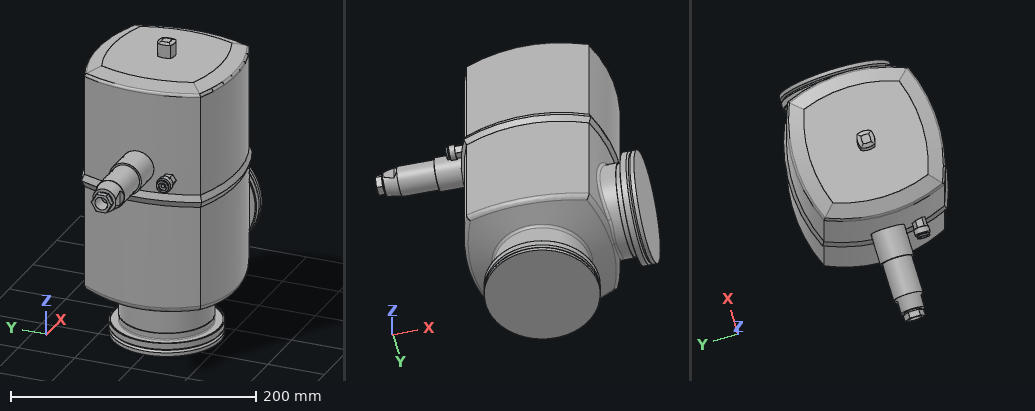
import cadquery as cq
import math

WALL_MID = 62.0
WALL_CORNER = 51.5
LID_Z = 250.5
LID_CHAMFER_WIDTH = 14.0
LID_ROUND = 2.6
SLOPE = math.radians(20)
RIDGE_Z = 150.0
RIDGE_HEIGHT = 2.5
RIDGE_HALF_WIDTH = 5.5
BASE_ROUND = 5.0

NECK_RADIUS = 39.5
NECK_END_RADIUS = 38.7
NECK_END_LENGTH = 17.0
FLANGE_RADIUS = 47.5
FLANGE_THICKNESS = 11.9
RECESS_RADIUS = 46.0
RECESS_DEPTH = 0.8
GROOVE_CENTRE = 5.0
GROOVE_HALF_WIDTH = 1.5
GROOVE_DEPTH = 1.5
NECK_ROUND = 2.6
BASE_Z = 39.5
NECK_OVERLAP = 2.6
PORT_Z = 87.7
PORT_FACE_X = 88.0

STEM_TOP_Z = 263.5
STEM_MID = 7.0
STEM_CORNER = 5.8
STEM_ROOT_DEPTH = 2.6
STEM_TIP_WIDTH = 3.5

CABLE_Z = 176.3
CABLE_END_X = -138.0
NUT_END_X = -132.8
GLAND_START_X = -131.5
FLAT_END_X = -122.0
BARREL_START_X = -119.0
SLEEVE_START_X = -87.5
NUT_ACROSS_FLATS = 15.3
CABLE_NECK_RADIUS = 7.5
GLAND_TIP_RADIUS = 10.3
GLAND_ROOT_RADIUS = 12.5
GLAND_FLAT = 10.0
BARREL_RADIUS = 12.6
SLEEVE_RADIUS = 14.2
CABLE_BORE_RADIUS = 5.5
CABLE_BORE_DEPTH = 13.2

FITTING_Y = -27.0
FITTING_Z = 168.0
FITTING_END_X = -73.5
FITTING_NECK_X = -72.0
COLLAR_START_X = -71.0
COLLAR_END_X = -66.0
CAP_RADIUS = 5.3
FITTING_NECK_RADIUS = 4.2
COLLAR_RADIUS = 6.3
FITTING_ACROSS_FLATS = 10.0
FITTING_BORE_RADIUS = 3.5
FITTING_BORE_DEPTH = 5.3
PIN_RADIUS = 1.5
PIN_RECESS = 1.3

INNER_X = -52.7
PICK_MARGIN = 0.3
SIDE_JOINT_SPAN = 4.0


def bulge_radius(mid, corner):
    """Radius of the arc through both corners and the middle of a bulged side."""
    rise = mid - corner
    return (corner ** 2 + rise ** 2) / (2 * rise)


def bulged_prism(half_profile, axis_x):
    """Intersect four copies of a profile revolved about a Z axis at axis_x."""
    side = half_profile.close().revolve(360, (axis_x, 0, 0), (axis_x, 1, 0))
    prism = side
    for quarter in range(1, 4):
        prism = prism.intersect(side.rotate((0, 0, 0), (0, 0, 1), 90 * quarter))
    return prism


def cylinder_x(start_x, end_x, radius, y, z):
    return cq.Workplane("YZ", origin=(start_x, y, z)).circle(radius).extrude(end_x - start_x)


def hexagon_x(start_x, end_x, across_flats, y, z):
    """Hexagonal bar along X with two corners pointing along Y."""
    across_corners = across_flats / math.cos(math.radians(30))
    plane = cq.Workplane("YZ", origin=(start_x, y, z))
    return plane.polygon(6, across_corners).extrude(end_x - start_x)


def housing():
    axis_x = WALL_MID - bulge_radius(WALL_MID, WALL_CORNER)
    lid_edge_z = LID_Z - LID_CHAMFER_WIDTH * math.tan(SLOPE)
    setback = LID_ROUND * math.tan((math.pi / 2 - SLOPE) / 2)
    round_end = (WALL_MID - setback * math.cos(SLOPE), lid_edge_z + setback * math.sin(SLOPE))
    profile = (
        cq.Workplane("XZ")
        .moveTo(axis_x, BASE_Z)
        .lineTo(WALL_MID, BASE_Z)
        .lineTo(WALL_MID, RIDGE_Z - RIDGE_HALF_WIDTH)
        .lineTo(WALL_MID + RIDGE_HEIGHT, RIDGE_Z)
        .lineTo(WALL_MID, RIDGE_Z + RIDGE_HALF_WIDTH)
        .lineTo(WALL_MID, lid_edge_z - setback)
        .tangentArcPoint(round_end, relative=False)
        .lineTo(WALL_MID - LID_CHAMFER_WIDTH, LID_Z)
        .lineTo(axis_x, LID_Z)
    )
    body = bulged_prism(profile, axis_x)

    cone_radius = 2 * WALL_MID
    cone_top_z = BASE_Z + (cone_radius - NECK_RADIUS) * math.tan(SLOPE)
    cone = (
        cq.Workplane("XZ")
        .moveTo(0, BASE_Z)
        .lineTo(NECK_RADIUS, BASE_Z)
        .lineTo(cone_radius, cone_top_z)
        .lineTo(cone_radius, LID_Z)
        .lineTo(0, LID_Z)
        .close()
        .revolve(360, (0, 0, 0), (0, 1, 0))
    )
    body = body.intersect(cone)
    base_edges = cq.selectors.BoxSelector(
        (-WALL_MID, -WALL_MID, BASE_Z + PICK_MARGIN), (WALL_MID, WALL_MID, PORT_Z)
    )
    return body.edges(base_edges).fillet(BASE_ROUND)


def flanged_neck(length):
    """Neck along +Z with its flange face at the origin."""
    groove_bottom = FLANGE_RADIUS - GROOVE_DEPTH
    return (
        cq.Workplane("XZ")
        .lineTo(FLANGE_RADIUS, 0)
        .lineTo(FLANGE_RADIUS, GROOVE_CENTRE - GROOVE_HALF_WIDTH)
        .lineTo(groove_bottom, GROOVE_CENTRE)
        .lineTo(FLANGE_RADIUS, GROOVE_CENTRE + GROOVE_HALF_WIDTH)
        .lineTo(FLANGE_RADIUS, FLANGE_THICKNESS)
        .lineTo(RECESS_RADIUS, FLANGE_THICKNESS)
        .lineTo(RECESS_RADIUS, FLANGE_THICKNESS - RECESS_DEPTH)
        .lineTo(NECK_END_RADIUS + RECESS_DEPTH, FLANGE_THICKNESS - RECESS_DEPTH)
        .tangentArcPoint((NECK_END_RADIUS, FLANGE_THICKNESS), relative=False)
        .lineTo(NECK_END_RADIUS, NECK_END_LENGTH)
        .lineTo(NECK_RADIUS, NECK_END_LENGTH)
        .lineTo(NECK_RADIUS, length)
        .lineTo(0, length)
        .close()
        .revolve(360, (0, 0, 0), (0, 1, 0))
    )


def stem():
    axis_x = STEM_MID - bulge_radius(STEM_MID, STEM_CORNER)
    tip_edge_z = STEM_TOP_Z - STEM_TIP_WIDTH * math.tan(SLOPE)
    profile = (
        cq.Workplane("XZ")
        .moveTo(axis_x, LID_Z - STEM_ROOT_DEPTH)
        .lineTo(STEM_MID, LID_Z - STEM_ROOT_DEPTH)
        .lineTo(STEM_MID, tip_edge_z)
        .lineTo(STEM_MID - STEM_TIP_WIDTH, STEM_TOP_Z)
        .lineTo(axis_x, STEM_TOP_Z)
    )
    return bulged_prism(profile, axis_x)


def cable_connector():
    gland = (
        cq.Workplane("XY")
        .moveTo(GLAND_START_X, 0)
        .lineTo(GLAND_START_X, GLAND_TIP_RADIUS)
        .lineTo(BARREL_START_X, GLAND_ROOT_RADIUS)
        .lineTo(BARREL_START_X, 0)
        .close()
        .revolve(360, (0, 0, 0), (1, 0, 0))
        .translate((0, 0, CABLE_Z))
    )
    flat_cutter = (
        cq.Workplane("XY")
        .moveTo(GLAND_START_X, GLAND_FLAT)
        .lineTo(FLAT_END_X, GLAND_FLAT)
        .lineTo(BARREL_START_X, GLAND_ROOT_RADIUS)
        .lineTo(BARREL_START_X, BARREL_RADIUS)
        .lineTo(GLAND_START_X, BARREL_RADIUS)
        .close()
        .extrude(BARREL_RADIUS, both=True)
        .translate((0, 0, CABLE_Z))
    )
    gland = gland.cut(flat_cutter).cut(flat_cutter.mirror("XZ"))
    bore_end_x = CABLE_END_X + CABLE_BORE_DEPTH
    return (
        gland
        .union(hexagon_x(CABLE_END_X, NUT_END_X, NUT_ACROSS_FLATS, 0, CABLE_Z))
        .union(cylinder_x(NUT_END_X, GLAND_START_X, CABLE_NECK_RADIUS, 0, CABLE_Z))
        .union(cylinder_x(BARREL_START_X, SLEEVE_START_X, BARREL_RADIUS, 0, CABLE_Z))
        .union(cylinder_x(SLEEVE_START_X, INNER_X, SLEEVE_RADIUS, 0, CABLE_Z))
        .cut(cylinder_x(CABLE_END_X, bore_end_x, CABLE_BORE_RADIUS, 0, CABLE_Z))
    )


def small_fitting():
    at = (FITTING_Y, FITTING_Z)
    bore_end_x = FITTING_END_X + FITTING_BORE_DEPTH
    return (
        cylinder_x(FITTING_END_X, FITTING_NECK_X, CAP_RADIUS, *at)
        .union(cylinder_x(FITTING_NECK_X, COLLAR_START_X, FITTING_NECK_RADIUS, *at))
        .union(cylinder_x(COLLAR_START_X, COLLAR_END_X, COLLAR_RADIUS, *at))
        .union(hexagon_x(COLLAR_END_X, INNER_X, FITTING_ACROSS_FLATS, *at))
        .cut(cylinder_x(FITTING_END_X, bore_end_x, FITTING_BORE_RADIUS, *at))
        .union(cylinder_x(FITTING_END_X + PIN_RECESS, bore_end_x, PIN_RADIUS, *at))
    )


def round_neck_joints(body):
    """Round the lines where the two necks leave the housing."""
    lower_joint = cq.selectors.BoxSelector(
        (-PICK_MARGIN, -PICK_MARGIN, BASE_Z - PICK_MARGIN),
        (PICK_MARGIN, PICK_MARGIN, BASE_Z + PICK_MARGIN),
    )
    side_joint = cq.selectors.BoxSelector(
        (WALL_MID - SIDE_JOINT_SPAN, -NECK_RADIUS, PORT_Z - NECK_RADIUS),
        (WALL_MID, NECK_RADIUS, PORT_Z + NECK_RADIUS),
    )
    return body.edges(lower_joint + side_joint).fillet(NECK_ROUND)


lower_neck = flanged_neck(BASE_Z + NECK_OVERLAP)
side_neck = (
    flanged_neck(PORT_FACE_X)
    .rotate((0, 0, 0), (0, 1, 0), -90)
    .translate((PORT_FACE_X, 0, PORT_Z))
)
valve_body = round_neck_joints(housing().union(lower_neck).union(side_neck))
result = valve_body.union(stem()).union(cable_connector()).union(small_fitting())